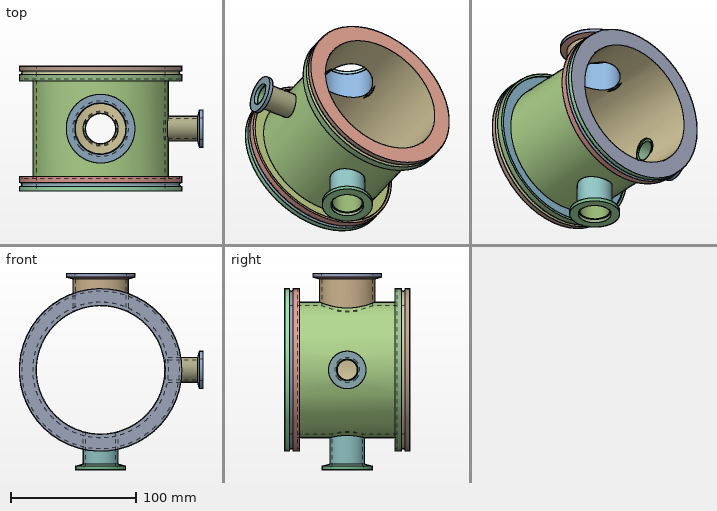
import cadquery as cq
import math

BODY_LENGTH = 100.0
BODY_OUTER_DIAMETER = 108.5
BODY_BORE_DIAMETER = 102.7

FLANGE_DIAMETER = 130.0
FLANGE_THICKNESS = 12.0
GROOVE_FLOOR_DIAMETER = 126.0
GROOVE_CENTER_FROM_END = 5.3
GROOVE_WIDTH = 3.0
GROOVE_RADIUS = GROOVE_WIDTH / 2
RECESS_DIAMETER = 126.0
RECESS_DEPTH = 1.5

PORT_RIM_THICKNESS = 3.0
PORT_TAPER_ANGLE = 15
COUNTERBORE_DEPTH = 3.0

OVERALL_WIDTH = 147.0
OVERALL_HEIGHT = 157
TOP_REACH = 77.1
BOTTOM_REACH = OVERALL_HEIGHT - TOP_REACH
SIDE_REACH = OVERALL_WIDTH - FLANGE_DIAMETER / 2

PORT_LENGTH = 30.0
PORTS = [
    dict(direction=(0, 0, 1), reach=TOP_REACH,
         flange=55, tube=44.5, bore=40.5, counterbore=41.1),
    dict(direction=(0, 0, -1), reach=BOTTOM_REACH,
         flange=40.0, tube=28.0, bore=24.0, counterbore=26.2),
    dict(direction=(1, 0, 0), reach=SIDE_REACH,
         flange=30.0, tube=20.0, bore=16.0, counterbore=17.3),
]


def body_cylinder(diameter):
    """Cylinder of the body length on the Y axis, centred on the origin."""
    return cq.Workplane("XZ").circle(diameter / 2).extrude(BODY_LENGTH / 2, both=True)


def end_flange():
    """Flange at the +Y end: rounded rim groove, and a shallow recess in its inner face."""
    end = BODY_LENGTH / 2
    inner_face = end - FLANGE_THICKNESS
    recess_floor = inner_face + RECESS_DEPTH
    groove_center = end - GROOVE_CENTER_FROM_END
    rim_radius = FLANGE_DIAMETER / 2
    bore_radius = BODY_BORE_DIAMETER / 2
    floor_radius = GROOVE_FLOOR_DIAMETER / 2
    arc_end_radius = floor_radius + GROOVE_RADIUS
    return (
        cq.Workplane("XY")
        .moveTo(bore_radius, recess_floor)
        .lineTo(RECESS_DIAMETER / 2, recess_floor)
        .lineTo(RECESS_DIAMETER / 2, inner_face)
        .lineTo(rim_radius, inner_face)
        .lineTo(rim_radius, groove_center - GROOVE_RADIUS)
        .lineTo(arc_end_radius, groove_center - GROOVE_RADIUS)
        .threePointArc((floor_radius, groove_center), (arc_end_radius, groove_center + GROOVE_RADIUS))
        .lineTo(rim_radius, groove_center + GROOVE_RADIUS)
        .lineTo(rim_radius, end)
        .lineTo(bore_radius, end)
        .close()
        .revolve(360, (0, 0, 0), (0, 1, 0))
    )


def port_cylinder(port, diameter, start, stop):
    """Cylinder on the port axis between two distances from the body axis."""
    direction = cq.Vector(*port["direction"])
    return cq.Workplane(cq.Solid.makeCylinder(diameter / 2, stop - start, direction * start, direction))


def port_solid(port):
    """Port tube with its rim and the taper behind the rim, not yet bored."""
    direction = cq.Vector(*port["direction"])
    rim_start = port["reach"] - PORT_RIM_THICKNESS
    tube_radius = port["tube"] / 2
    rim_radius = port["flange"] / 2
    taper_length = (rim_radius - tube_radius) * math.tan(math.radians(PORT_TAPER_ANGLE))
    taper = cq.Solid.makeCone(
        tube_radius, rim_radius, taper_length, direction * (rim_start - taper_length), direction
    )
    tube = port_cylinder(port, port["tube"], port["reach"] - PORT_LENGTH, port["reach"])
    rim = port_cylinder(port, port["flange"], rim_start, port["reach"])
    return tube.union(taper).union(rim)


flange = end_flange()
result = body_cylinder(BODY_OUTER_DIAMETER).union(flange).union(flange.mirror("XZ"))
main_bore = body_cylinder(BODY_BORE_DIAMETER)
result = result.cut(main_bore)

for port in PORTS:
    socket = port_cylinder(port, port["tube"], 0, port["reach"] - PORT_LENGTH)
    tube = port_solid(port).cut(main_bore)
    bore = port_cylinder(port, port["bore"], 0, port["reach"])
    counterbore = port_cylinder(
        port, port["counterbore"], port["reach"] - COUNTERBORE_DEPTH, port["reach"]
    )
    result = result.cut(socket).union(tube).cut(bore).cut(counterbore)